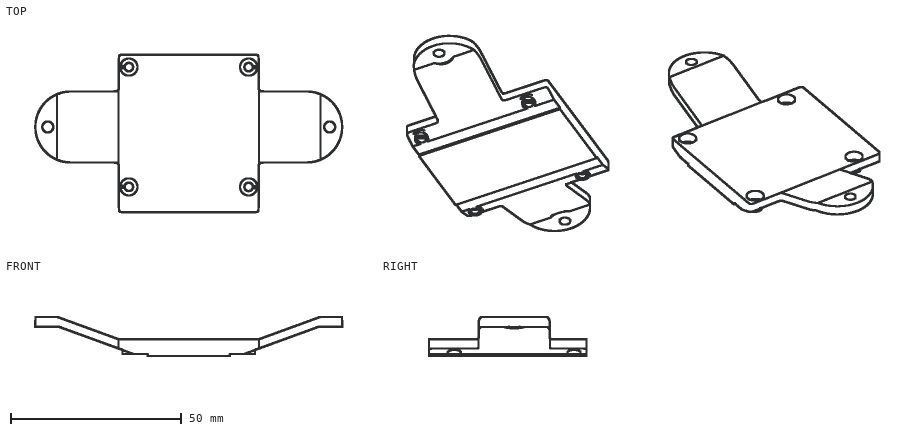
import cadquery as cq
import math

length = 90.0
height = 11.5
plate_top = 4.95
pad_height = 0.5
pad_length = 24.1
thickness = 3.0
bend_angle = 20.0

plate_length = 41.0
plate_back = 21.2
plate_front = -25.0
arm_width = 20.9
blend_length = 2.0

screw_spacing = 35.1
screw_diameter = 2.4
head_diameter = 5.0
head_depth = 2.9
boss_diameter = 3.9

ear_hole_spacing = 82.6
ear_hole_diameter = 3.15
spotface_diameter = 9.0

slope = math.tan(math.radians(bend_angle))
bend_shift = thickness * math.tan(math.radians(bend_angle / 2))
plate_edge = plate_length / 2
ear_bottom = height - thickness
ear_bend_top = plate_edge + (height - plate_top) / slope
ear_bend_bottom = ear_bend_top - bend_shift
slope_foot = ear_bend_bottom - (ear_bottom - pad_height) / slope


def side_profile():
    """Bent cross-section, swept straight across the full depth of the plate."""
    half = [
        (pad_length / 2, 0),
        (pad_length / 2, pad_height),
        (slope_foot, pad_height),
        (ear_bend_bottom, ear_bottom),
        (length / 2, ear_bottom),
        (length / 2, height),
        (ear_bend_top, height),
        (plate_edge, plate_top),
    ]
    mirrored = [(-x, z) for x, z in reversed(half)]
    return (
        cq.Workplane("XZ", origin=(0, plate_back, 0))
        .polyline(half + mirrored)
        .close()
        .extrude(plate_back - plate_front)
    )


def blend_corner(sketch, corner, direction_in, direction_out):
    """Line up to a corner, then a smooth blend pulled tightly into it."""
    x, y = corner
    start = (x - blend_length * direction_in[0], y - blend_length * direction_in[1])
    end = (x + blend_length * direction_out[0], y + blend_length * direction_out[1])
    return sketch.lineTo(*start).bezier([corner, corner, end], includeCurrent=True)


def plan_outline():
    """Rectangular plate with two round-ended arms and blended corners."""
    right, up, left = (1, 0), (0, 1), (-1, 0)
    arm_half = arm_width / 2
    arc_centre = length / 2 - arm_half
    sketch = cq.Workplane("XY").moveTo(0, plate_front)
    sketch = blend_corner(sketch, (plate_edge, plate_front), right, up)
    sketch = blend_corner(sketch, (plate_edge, -arm_half), up, right)
    sketch = sketch.lineTo(arc_centre, -arm_half)
    sketch = sketch.threePointArc((length / 2, 0), (arc_centre, arm_half))
    sketch = blend_corner(sketch, (plate_edge, arm_half), left, up)
    sketch = blend_corner(sketch, (plate_edge, plate_back), up, left)
    half = sketch.lineTo(0, plate_back).close().extrude(height)
    return half.union(half.mirror("YZ")).clean()


def cylinders(points, diameter, bottom, top):
    """Upright cylinders between two heights."""
    return (
        cq.Workplane("XY", origin=(0, 0, bottom))
        .pushPoints(points)
        .circle(diameter / 2)
        .extrude(top - bottom)
    )


screw_half = screw_spacing / 2
screw_points = [(x, y) for x in (-screw_half, screw_half) for y in (-screw_half, screw_half)]
ear_points = [(-ear_hole_spacing / 2, 0), (ear_hole_spacing / 2, 0)]

body = side_profile().intersect(plan_outline())

head_floor = plate_top - head_depth
body = body.union(cylinders(screw_points, boss_diameter, pad_height, head_floor))
body = body.cut(cylinders(screw_points, screw_diameter, 0, plate_top))
body = body.cut(cylinders(screw_points, head_diameter, head_floor, plate_top))

body = body.cut(cylinders(ear_points, ear_hole_diameter, 0, height))
result = body.cut(cylinders(ear_points, spotface_diameter, 0, ear_bottom))